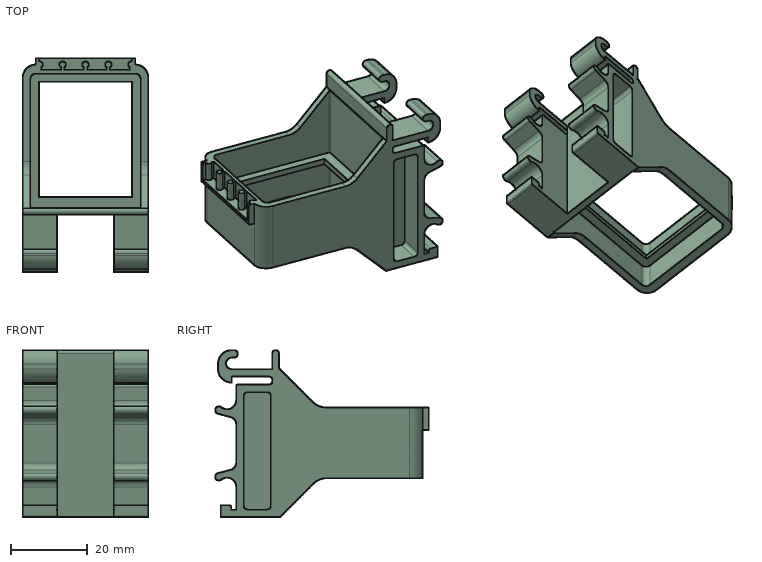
import cadquery as cq
import math


width = 32.9
height = 43.7
wall = 2.0
edge_round = 0.35
clearance = 0.55

frame_rear_y = 48.8
frame_bottom_z = 10.2
frame_top_z = 28.75
frame_corner_radius = 3.5
flare_radius = 5.0
cavity_front_y = 11.3
cavity_rear_y = 46.4
cavity_corner_radius = frame_corner_radius - wall
ledge_front_y = 14.2
ledge_rear_y = 44.2
ledge_opening_width = 24.2
ledge_thickness = 1.55

flange_front_y = 9.45
flange_thickness = 1.8
flange_rear_y = flange_front_y + flange_thickness
flare_top_z = 38.95
flare_bottom_y = 11.45

post_width = 9.05
post_top_z = 34.7
post_round = 0.55
pocket_front_y = wall
pocket_rear_y = 9.1
pocket_bottom_z = wall
pocket_top_z = post_top_z - wall
pocket_depth = post_width - wall
pocket_corner_radius = 1.0

arm_gap = 2.0
gap_end_radius = 0.85
arm_bottom_z = post_top_z + arm_gap
arm_top_z = arm_bottom_z + wall
hook_center_y = -1.1
hook_outer_radius = 3.65
hook_tip_radius = 1.0
hook_tip_y = -0.53
hook_foot_z = 35.15

clip_mid_z = 19.3
finger_tip_y = -4.45
finger_tip_rise = 8.7
finger_tip_radius = 1.0
finger_groove_radius = 2.35
finger_slope = math.radians(15)
finger_root_radius = 1.9

lip_front_y = -4.0
lip_rear_y = -1.25
lip_top_z = 3.15
lip_round = 0.55

rail_width = 26.05
rail_rear_y = 50.4
rail_bottom_z = 22.75
rail_stop_thickness = 1.0
rail_floor_y = 47.45
rail_end_thickness = 0.9
rib_count = 5
rib_pitch = 6.0
rib_head_radius = 0.85
rib_head_y = 48.75
rib_neck_width = 0.85


def block(x0, x1, y0, y1, z0, z1):
    return cq.Workplane("XY").box(x1 - x0, y1 - y0, z1 - z0, centered=False).translate((x0, y0, z0))


def across(sketch):
    """Extrude a closed Y-Z outline over the full width."""
    return sketch.close().extrude(width / 2, both=True)


def outline(y, z):
    return cq.Workplane("YZ").moveTo(y, z)


def make_body():
    """Frame, 45 degree flares and post as one solid silhouette."""
    upper_flare_y = flange_rear_y + flare_top_z - frame_top_z
    lower_flare_y = flare_bottom_y + frame_bottom_z
    body = across(
        outline(0, 0)
        .lineTo(flare_bottom_y, 0)
        .lineTo(lower_flare_y, frame_bottom_z)
        .lineTo(frame_rear_y, frame_bottom_z)
        .lineTo(frame_rear_y, frame_top_z)
        .lineTo(upper_flare_y, frame_top_z)
        .lineTo(flange_rear_y, flare_top_z)
        .lineTo(flange_front_y, flare_top_z)
        .lineTo(flange_front_y, post_top_z)
        .lineTo(0, post_top_z)
    )
    for y, z in ((upper_flare_y, frame_top_z), (lower_flare_y, frame_bottom_z)):
        body = body.edges(cq.NearestToPointSelector((0, y, z))).fillet(flare_radius)
    body = body.edges(cq.NearestToPointSelector((0, 0, post_top_z))).fillet(post_round)
    return body.edges("|Z and >Y").fillet(frame_corner_radius)


def make_flange():
    shoulder_z = height - flange_thickness / 2
    return across(
        outline(flange_front_y, post_top_z)
        .lineTo(flange_front_y, shoulder_z)
        .threePointArc((flange_front_y + flange_thickness / 2, height), (flange_rear_y, shoulder_z))
        .lineTo(flange_rear_y, post_top_z)
    )


def make_arm():
    """Horizontal arm whose end curls up and back into a hook."""
    outer_y = hook_center_y - hook_outer_radius
    upper_center_z = height - hook_outer_radius
    lower_center_z = hook_foot_z + hook_outer_radius
    diagonal = hook_outer_radius * math.sqrt(0.5)
    tip_bottom_z = height - 2 * hook_tip_radius
    inner_radius = (tip_bottom_z - arm_top_z) / 2
    return across(
        outline(flange_front_y, arm_bottom_z)
        .lineTo(hook_center_y, arm_bottom_z)
        .lineTo(hook_center_y, hook_foot_z)
        .threePointArc(
            (hook_center_y - diagonal, lower_center_z - diagonal), (outer_y, lower_center_z)
        )
        .lineTo(outer_y, upper_center_z)
        .threePointArc((hook_center_y - diagonal, upper_center_z + diagonal), (hook_center_y, height))
        .lineTo(hook_tip_y, height)
        .threePointArc(
            (hook_tip_y + hook_tip_radius, height - hook_tip_radius), (hook_tip_y, tip_bottom_z)
        )
        .lineTo(hook_center_y, tip_bottom_z)
        .threePointArc(
            (hook_center_y - inner_radius, arm_top_z + inner_radius), (hook_center_y, arm_top_z)
        )
        .lineTo(flange_front_y, arm_top_z)
    )


def round_gap_end(part):
    """Round the blind end of the gap under the arm."""
    for z in (post_top_z, arm_bottom_z):
        part = part.edges(cq.NearestToPointSelector((0, flange_front_y, z))).fillet(gap_end_radius)
    return part


def make_upper_finger():
    """Finger with a round groove above it, a bulb tip and a sloped underside."""
    tip_z = clip_mid_z + finger_tip_rise
    groove_y = -finger_groove_radius
    center_distance = finger_groove_radius + finger_tip_radius
    groove_z = tip_z + math.sqrt(center_distance**2 - (groove_y - finger_tip_y) ** 2)

    def on_groove(angle):
        return (
            groove_y + finger_groove_radius * math.cos(angle),
            groove_z + finger_groove_radius * math.sin(angle),
        )

    def on_tip(angle):
        return (
            finger_tip_y + finger_tip_radius * math.cos(angle),
            tip_z + finger_tip_radius * math.sin(angle),
        )

    touch_angle = math.atan2(groove_z - tip_z, groove_y - finger_tip_y)
    slope_angle = 1.5 * math.pi - finger_slope
    slope_y, slope_z = on_tip(slope_angle)

    root_z = slope_z + slope_y * math.tan(finger_slope)
    root_end_z = root_z - finger_root_radius / math.tan((math.pi / 2 + finger_slope) / 2)

    def on_root(angle):
        return (
            -finger_root_radius + finger_root_radius * math.cos(angle),
            root_end_z + finger_root_radius * math.sin(angle),
        )

    root_angle = math.pi / 2 - finger_slope
    groove_end = touch_angle - math.pi
    return across(
        outline(wall / 2, groove_z)
        .lineTo(0, groove_z)
        .threePointArc(on_groove(groove_end / 2), on_groove(groove_end))
        .threePointArc(on_tip((touch_angle + slope_angle) / 2), (slope_y, slope_z))
        .lineTo(*on_root(root_angle))
        .threePointArc(on_root(root_angle / 2), (0, root_end_z))
        .lineTo(wall / 2, root_end_z)
    )


def make_lip():
    base = block(-width / 2, width / 2, lip_front_y, wall, 0, wall)
    base = base.edges("|X and <Y and <Z").fillet(edge_round)
    lip = block(-width / 2, width / 2, lip_front_y, lip_rear_y, wall / 2, lip_top_z)
    return base.union(lip.edges("|X and >Y and >Z").fillet(lip_round))


def make_cavity():
    """Open cavity of the frame, leaving a ledge around its middle height."""
    half = width / 2 - wall
    cavity = block(-half, half, cavity_front_y, cavity_rear_y, -clearance, height + clearance)
    cavity = cavity.edges("|Z and >Y").fillet(cavity_corner_radius)
    cavity = cavity.edges("|Z and <Y").fillet(edge_round)
    ledge_bottom_z = (frame_bottom_z + frame_top_z - ledge_thickness) / 2
    ledge_top_z = ledge_bottom_z + ledge_thickness
    ledge = block(-width, width, 0, frame_rear_y, ledge_bottom_z, ledge_top_z)
    opening = ledge_opening_width / 2
    ledge = ledge.cut(block(-opening, opening, ledge_front_y, ledge_rear_y, 0, height))
    return cavity.cut(ledge)


def make_pocket(side):
    """Blind pocket entering a post from its outer side (-1 left, +1 right)."""
    outer_x = side * width / 2
    inner_x = outer_x - side * pocket_depth
    pocket = block(
        min(outer_x, inner_x), max(outer_x, inner_x),
        pocket_front_y, pocket_rear_y, pocket_bottom_z, pocket_top_z,
    )
    return pocket.edges("|X").fillet(pocket_corner_radius)


def make_rail():
    """Solid rail before its slots are cut."""
    half = rail_width / 2
    rail = block(-half, half, cavity_rear_y, rail_rear_y, rail_bottom_z, frame_top_z)
    return rail.edges("|X and >Y").fillet(edge_round)


def make_rail_slots():
    """Space around the keyhole-shaped ribs, closed by the stop at the bottom of the rail."""
    slot_bottom_z = rail_bottom_z + rail_stop_thickness
    slot_height = frame_top_z - slot_bottom_z
    half = rail_width / 2 - rail_end_thickness
    slots = block(-half, half, rail_floor_y, rail_rear_y, slot_bottom_z, frame_top_z)
    for index in range(rib_count):
        x = (index - (rib_count - 1) / 2) * rib_pitch
        head = (
            cq.Workplane("XY", origin=(x, rib_head_y, slot_bottom_z))
            .circle(rib_head_radius)
            .extrude(slot_height)
        )
        neck = block(
            x - rib_neck_width / 2, x + rib_neck_width / 2,
            rail_floor_y, rib_head_y, slot_bottom_z, frame_top_z,
        )
        slots = slots.cut(head).cut(neck)
    return slots


upper_finger = make_upper_finger()
lower_finger = upper_finger.mirror("XY", (0, 0, clip_mid_z))
result = round_gap_end(make_body().union(make_flange()).union(make_arm()))
result = result.union(upper_finger).union(lower_finger).union(make_lip()).union(make_rail())

gap_half = width / 2 - post_width
result = result.cut(block(-gap_half, gap_half, -width, flange_front_y, -clearance, height + clearance))
result = result.cut(make_cavity()).cut(make_rail_slots())
for side in (-1, 1):
    result = result.cut(make_pocket(side))